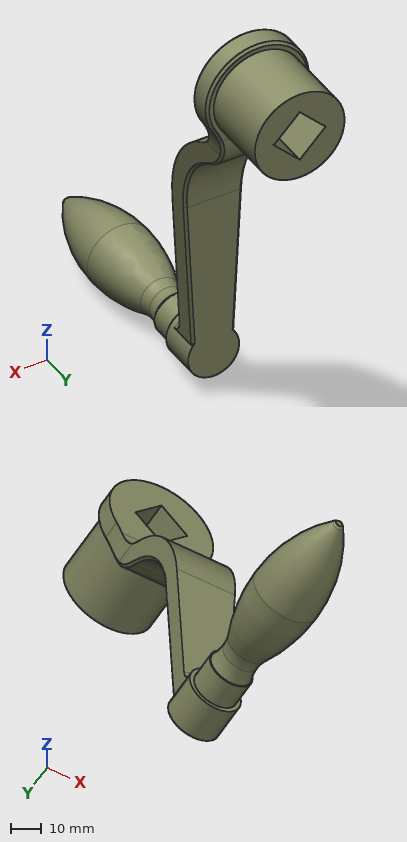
import cadquery as cq
import math


head_radius = 39.0 / 2
hub_radius = 17.0
hub_back_y = 34.3
square_side = 13.8

arm_thickness = 8.0
arm_front_y = -28.7
bend_start_z = -14.0
bend_end_z = -61.6
head_bend_share = 0.22
neck_angle = math.radians(30)
taper_start_z = -22.1
taper_start_half_width = 13.0
taper_end_half_width = 7.7
back_edge_chamfer = 1.0

handle_z = -124.8
boss_radius = 19.3 / 2
boss_end_y = -34.8
boss_fillet = 3.8
collar_radius = 16.2 / 2
collar_end_y = -45.0
neck_start_radius = 7.7
neck_radius = 13.3 / 2
neck_y = -50.8
grip_start_y = -55.4
grip_start_radius = 7.4
grip_peak_y = -80.6
grip_radius = 25.0 / 2
grip_end_y = -113.9
grip_end_radius = 2.0
tip_y = -114.6
tip_radius = 1.3

selection_margin = 0.2


def y_cylinder(radius, z, start_y, end_y):
    """Solid cylinder along Y between two Y positions."""
    return (
        cq.Workplane("XZ", origin=(0, start_y, 0))
        .center(0, z)
        .circle(radius)
        .extrude(start_y - end_y)
    )


def arm_profile():
    """Side shape of the strap in YZ: two tangent arcs, then a straight run to the handle."""
    offset = -arm_front_y
    drop = bend_start_z - bend_end_z
    bend_angle = 2 * math.atan(offset / drop)
    radius_sum = drop / math.sin(bend_angle)
    upper_radius = radius_sum * head_bend_share
    lower_radius = radius_sum - upper_radius

    def upper_point(depth, angle):
        radius = upper_radius + depth
        return (-upper_radius + radius * math.cos(angle), bend_start_z - radius * math.sin(angle))

    def lower_point(depth, angle):
        radius = lower_radius - depth
        return (
            arm_front_y + lower_radius - radius * math.cos(angle),
            bend_end_z + radius * math.sin(angle),
        )

    half_angle = bend_angle / 2
    back = arm_thickness
    return (
        cq.Workplane("YZ")
        .moveTo(0, head_radius)
        .lineTo(*upper_point(0, 0))
        .threePointArc(upper_point(0, half_angle), upper_point(0, bend_angle))
        .threePointArc(lower_point(0, half_angle), lower_point(0, 0))
        .lineTo(arm_front_y, handle_z)
        .lineTo(arm_front_y + back, handle_z)
        .lineTo(*lower_point(back, 0))
        .threePointArc(lower_point(back, half_angle), lower_point(back, bend_angle))
        .threePointArc(upper_point(back, half_angle), upper_point(back, 0))
        .lineTo(back, head_radius)
        .close()
        .extrude(head_radius, both=True)
    )


def arm_outline():
    """Frontal shape of head and arm, long enough along Y to trim the whole strap."""
    neck_x = head_radius * math.cos(neck_angle)
    neck_z = -head_radius * math.sin(neck_angle)
    flank_end = (-taper_start_half_width, taper_start_z)
    return (
        cq.Workplane("XZ", origin=(0, hub_back_y, 0))
        .moveTo(-taper_end_half_width, handle_z)
        .lineTo(taper_end_half_width, handle_z)
        .lineTo(taper_start_half_width, taper_start_z)
        .tangentArcPoint((neck_x, neck_z), relative=False)
        .threePointArc((0, head_radius), (-neck_x, neck_z))
        .tangentArcPoint(flank_end, relative=False)
        .close()
        .extrude(hub_back_y - boss_end_y)
    )


def make_arm():
    """Head and arm with the rear rim chamfered."""
    arm = arm_profile().intersect(arm_outline())
    rear_faces = [face for face in arm.faces().vals() if face.normalAt().y > selection_margin]
    rear_rim = arm.newObject(rear_faces).edges("not %LINE")
    return rear_rim.chamfer(back_edge_chamfer)


def tangent_arc_middle(peak, end):
    """Point midway along the arc that is level at the peak and runs to the end."""
    span = end[0] - peak[0]
    drop = peak[1] - end[1]
    radius = (span**2 + drop**2) / (2 * drop)
    half_angle = math.asin(span / radius) / 2
    return (peak[0] + radius * math.sin(half_angle), peak[1] - radius * (1 - math.cos(half_angle)))


def make_handle():
    """Revolved grip; profile points are (Y, radius)."""
    grip_start = (grip_start_y, grip_start_radius)
    peak = (grip_peak_y, grip_radius)
    grip_end = (grip_end_y, grip_end_radius)
    neck = (neck_y, neck_radius)
    return (
        cq.Workplane("YZ")
        .moveTo(arm_front_y, 0)
        .lineTo(arm_front_y, collar_radius)
        .lineTo(collar_end_y, collar_radius)
        .lineTo(collar_end_y, neck_start_radius)
        .threePointArc(tangent_arc_middle(neck, (collar_end_y, neck_start_radius)), neck)
        .threePointArc(tangent_arc_middle(neck, grip_start), grip_start)
        .threePointArc(tangent_arc_middle(peak, grip_start), peak)
        .threePointArc(tangent_arc_middle(peak, grip_end), grip_end)
        .lineTo(tip_y, tip_radius)
        .lineTo(tip_y, 0)
        .close()
        .revolve(360, (0, 0, 0), (1, 0, 0))
        .translate((0, 0, handle_z))
    )


def square_hole():
    """Square drive hole standing on its corner, through head and hub."""
    return (
        cq.Workplane("XZ", origin=(0, hub_back_y, 0))
        .transformed(rotate=(0, 0, 45))
        .rect(square_side, square_side)
        .extrude(hub_back_y)
    )


arm = make_arm()
boss = y_cylinder(boss_radius, handle_z, arm_front_y + arm_thickness, boss_end_y)
boss_corner = cq.selectors.BoxSelector(
    (-boss_radius, arm_front_y - selection_margin, handle_z),
    (boss_radius, arm_front_y + selection_margin, handle_z + boss_radius + selection_margin),
    boundingbox=True,
)
lever = arm.union(boss)
lever = lever.edges(boss_corner).fillet(boss_fillet)
hub = y_cylinder(hub_radius, 0, hub_back_y, 0)
result = lever.union(hub).union(make_handle()).cut(square_hole())